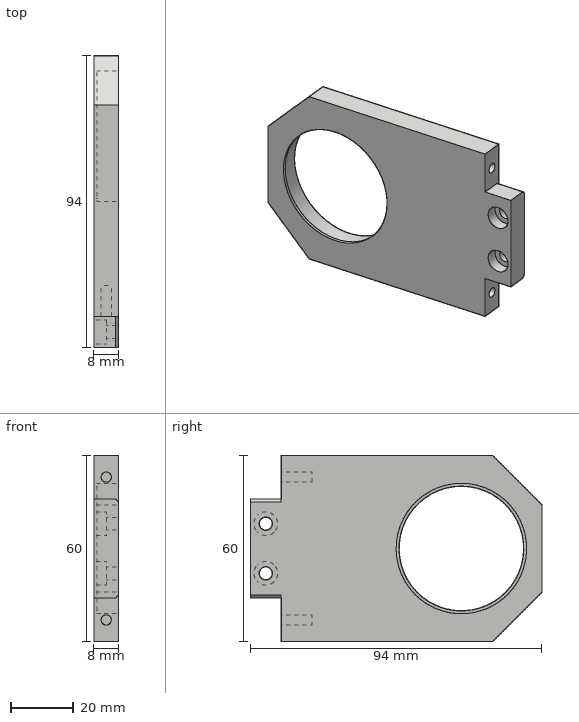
import cadquery as cq

thickness = 8.0
length = 94.0
height = 60.0
corner_cut = 16.0

tab_length = 10.0
tab_height = 32.0
tab_edge_chamfer = 1.0

lip_diameter = 40.0
bore_diameter = 42.0
lip_thickness = 1.0
bore_from_end = 26.0

screw_diameter = 4.1
screw_head_diameter = 7.6
screw_head_depth = 4.0
screw_spacing = 16.0

pin_diameter = 3.3
pin_depth = 10.0
pin_spacing = 46.0

front_x = -thickness / 2
end_y = length / 2
shoulder_y = -end_y + tab_length
tab_center_y = -end_y + tab_length / 2
bore_y = end_y - bore_from_end


def cylinder_along_x(diameter, start_x, depth, y, z):
    """Solid cylinder running toward +X from start_x."""
    return cq.Workplane("XY").add(
        cq.Solid.makeCylinder(diameter / 2, depth, cq.Vector(start_x, y, z), cq.Vector(1, 0, 0))
    )


def make_plate():
    """Rectangular plate with both +Y corners cut off."""
    body_length = length - tab_length
    plate = cq.Workplane("XY").box(thickness, body_length, height)
    plate = plate.edges("|X and >Y").chamfer(corner_cut)
    return plate.translate((0, tab_length / 2, 0))


def make_tab():
    """Tab whose top and bottom edges are chamfered on the +X side."""
    tab = cq.Workplane("XY").box(thickness, tab_length, tab_height)
    tab = tab.edges("(>X and >Z) or (>X and <Z)").chamfer(tab_edge_chamfer)
    return tab.translate((0, tab_center_y, 0))


result = make_plate().union(make_tab())

result = result.cut(cylinder_along_x(lip_diameter, front_x, thickness, bore_y, 0))
result = result.cut(
    cylinder_along_x(bore_diameter, front_x + lip_thickness, thickness - lip_thickness, bore_y, 0)
)

for side in (-1, 1):
    screw_z = side * screw_spacing / 2
    result = result.cut(cylinder_along_x(screw_diameter, front_x, thickness, tab_center_y, screw_z))
    result = result.cut(
        cylinder_along_x(screw_head_diameter, front_x, screw_head_depth, tab_center_y, screw_z)
    )

    pin_start = cq.Vector(0, shoulder_y, side * pin_spacing / 2)
    result = result.cut(
        cq.Workplane("XY").add(
            cq.Solid.makeCylinder(pin_diameter / 2, pin_depth, pin_start, cq.Vector(0, 1, 0))
        )
    )